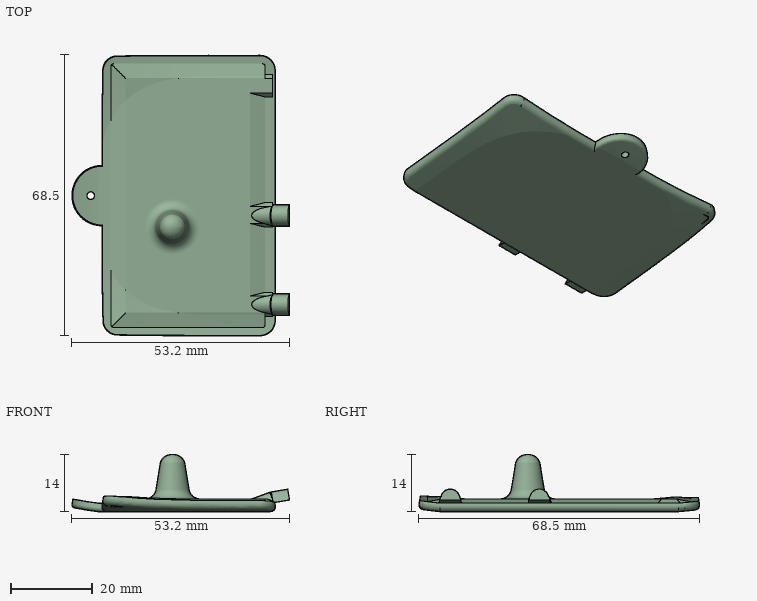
import cadquery as cq
import math

plate_half_x = 21.13
plate_half_y = 34.265
corner_radius = 4.0
rim_thickness = 2.1
bottom_round = 1.3
side_draft = 10.0
widest_z = 1.85

tab_radius = 7.2
tab_center_x = -21.3
tab_bottom_round = 0.8
tab_hole_diameter = 1.8
tab_hole_x = -23.9

egg_center_x = 6.9
egg_half_x = 29.0
egg_half_y = 29.1
egg_power = 2.8
bend_rise = 1.0
bend_rise_left = 0.35
bend_tilt = 0.1

panel_height = 3.16
panel_left = -18.96
panel_right = 18.7
panel_half_y = 32.2
panel_slope_width = 3.55
panel_corner_radius = 0.7
panel_root_z = 1.2
strip_right = 20.5
strip_half_y = 28.65
step_slope_width = 0.9

recess_left = 15.1
recess_spans = ((-2.6, 25.0), (-24.5, -6.8))

pin_x, pin_y = -3.93, -7.68
pin_base_radius = 6.7
pin_neck_radius = 4.1
pin_neck_z = 5.2
pin_top_radius = 3.0
pin_shoulder_z = 11.96
pin_height = 14.0
pin_tip_radius = 0.2
pin_root_z = 1.5

peg_centers_y = (-4.85, -26.6)
peg_kink_x, peg_kink_z = 20.4, 3.3
peg_outer_tilt = 9.5
peg_inner_tilt = 20.0
peg_outer_length = 4.12
peg_inner_length = 5.6
peg_half_width = 2.2
peg_base_half_width = 2.68
peg_crown = 1.58
peg_skirt = 1.15

reach = 40.0
depth = 40.0
blank_height = 8.0
grid_steps = 40
sheet_tolerance = 0.005
down_facing_limit = -0.5

panel_step = panel_height - rim_thickness
panel_slope = panel_step / panel_slope_width


def bend(x, y):
    """Height of the bent sheet above the flat; positive only outside the egg."""
    left = max(0.0, (egg_center_x - x) / egg_half_x)
    front = -y / egg_half_y
    overshoot = left ** egg_power + abs(front) ** egg_power - 1.0
    return overshoot * (bend_rise + bend_rise_left * left) * (1.0 + bend_tilt * front)


def below_sheet(level, slope_x=0.0, slope_y=0.0):
    """Everything under a sheet that is flat inside the egg and bends up outside it.

    `level` is the flat height at the origin; the slopes tilt the whole sheet.
    """
    def flat_z(x, y):
        return level + slope_x * x + slope_y * y

    ticks = [reach * (2.0 * i / grid_steps - 1.0) for i in range(grid_steps + 1)]
    points = [[cq.Vector(x, y, flat_z(x, y) + bend(x, y)) for y in ticks] for x in ticks]
    bent_face = cq.Face.makeSplineApprox(points, tol=sheet_tolerance)

    corners = [(-reach, -reach), (reach, -reach), (reach, reach), (-reach, reach)]
    flat_wire = cq.Wire.makePolygon([cq.Vector(x, y, flat_z(x, y)) for x, y in corners], close=True)
    flat_face = cq.Face.makeFromWires(flat_wire)

    down = cq.Vector(0, 0, -depth)
    bent = cq.Workplane(obj=cq.Solid.extrudeLinear(bent_face, down))
    return bent.union(cq.Workplane(obj=cq.Solid.extrudeLinear(flat_face, down)))


def faces_down(face):
    return face.normalAt(face.Center()).z < down_facing_limit


def round_bottom(body, radius):
    """Fillet the edges where the underside of a sheet-shaped body meets its walls."""
    faces = body.faces().vals()
    wall_edges = [edge for face in faces if not faces_down(face) for edge in face.Edges()]
    under_edges = [edge for face in faces if faces_down(face) for edge in face.Edges()]
    bottom_edges = [edge for edge in under_edges if any(edge.isSame(wall) for wall in wall_edges)]
    return body.newObject(bottom_edges).fillet(radius)


def make_plate(rim_sheet, base_sheet):
    draft_growth = widest_z * math.tan(math.radians(side_draft))
    base_outline = (
        cq.Sketch()
        .rect(2 * (plate_half_x + draft_growth), 2 * (plate_half_y + draft_growth))
        .vertices().fillet(corner_radius)
    )
    blank = cq.Workplane("XY").placeSketch(base_outline).extrude(blank_height, taper=side_draft)
    plate = round_bottom(blank.intersect(rim_sheet).cut(base_sheet), bottom_round)

    tab_base_radius = tab_radius + draft_growth
    tab_blank = (
        cq.Workplane("XY").center(tab_center_x, 0)
        .circle(tab_base_radius).extrude(blank_height, taper=side_draft)
    )
    tab = round_bottom(tab_blank.intersect(rim_sheet).cut(base_sheet), tab_bottom_round)
    tab_hole = cq.Workplane("XY").center(tab_hole_x, 0).circle(tab_hole_diameter / 2).extrude(depth)
    return plate.union(tab).cut(tab_hole)


def make_panel():
    panel_outline = (
        cq.Workplane("XY").workplane(offset=panel_root_z)
        .moveTo(panel_left, -panel_half_y).lineTo(panel_right, -panel_half_y)
        .lineTo(panel_right, panel_half_y).lineTo(panel_left, panel_half_y).close()
        .extrude(depth).edges("|Z").fillet(panel_corner_radius)
    )
    side_level = rim_thickness + panel_slope * panel_half_y
    left_level = rim_thickness - panel_slope * panel_left
    panel = panel_outline.intersect(below_sheet(panel_height))
    panel = panel.intersect(below_sheet(left_level, slope_x=panel_slope))
    panel = panel.intersect(below_sheet(side_level, slope_y=panel_slope))
    panel = panel.intersect(below_sheet(side_level, slope_y=-panel_slope))

    strip_foot = strip_half_y + step_slope_width
    strip = (
        cq.Workplane("YZ").workplane(offset=recess_left)
        .moveTo(-strip_foot, panel_root_z).lineTo(strip_foot, panel_root_z)
        .lineTo(strip_foot, rim_thickness).lineTo(strip_half_y, panel_height)
        .lineTo(-strip_half_y, panel_height).lineTo(-strip_foot, rim_thickness)
        .close().extrude(strip_right - recess_left)
    )
    return panel.union(strip)


def make_recess(front, back):
    """Cutter with a ramp on its left side and short slopes at both ends."""
    ramp = (
        cq.Workplane("XZ").workplane(offset=-back)
        .moveTo(recess_left, panel_height).lineTo(recess_left + panel_slope_width, rim_thickness)
        .lineTo(reach, rim_thickness).lineTo(reach, panel_height)
        .close().extrude(back - front)
    )
    ends = (
        cq.Workplane("YZ")
        .moveTo(front, panel_height).lineTo(front + step_slope_width, rim_thickness)
        .lineTo(back - step_slope_width, rim_thickness).lineTo(back, panel_height)
        .close().extrude(reach)
    )
    return ramp.intersect(ends)


def tangent_arc_midpoint(width, height):
    """Middle of an arc that starts along the width direction and climbs by `height`."""
    half_turn = math.atan2(height, width)
    radius = width / math.sin(2 * half_turn)
    return radius * math.sin(half_turn), radius * (1.0 - math.cos(half_turn))


def make_pin():
    foot_in, foot_up = tangent_arc_midpoint(pin_base_radius - pin_neck_radius, pin_neck_z - panel_height)
    dome_out, dome_down = tangent_arc_midpoint(pin_top_radius - pin_tip_radius, pin_height - pin_shoulder_z)
    profile = (
        cq.Workplane("XZ")
        .moveTo(0, pin_root_z).lineTo(pin_base_radius, pin_root_z).lineTo(pin_base_radius, panel_height)
        .threePointArc((pin_base_radius - foot_in, panel_height + foot_up), (pin_neck_radius, pin_neck_z))
        .lineTo(pin_top_radius, pin_shoulder_z)
        .threePointArc((pin_tip_radius + dome_out, pin_height - dome_down), (pin_tip_radius, pin_height))
        .lineTo(0, pin_height).close()
    )
    return profile.revolve(360, (0, 0, 0), (0, 1, 0)).translate((pin_x, pin_y, 0))


def peg_length(center_y, tilt, length):
    """Straight piece of a peg, running from the kink along its tilted axis."""
    lean = math.radians(tilt)
    section_plane = cq.Plane(
        origin=(peg_kink_x, center_y, peg_kink_z),
        xDir=(0, 1, 0),
        normal=(math.cos(lean), 0, math.sin(lean)),
    )
    return (
        cq.Workplane(section_plane)
        .moveTo(-peg_base_half_width, -peg_skirt).lineTo(peg_base_half_width, -peg_skirt)
        .lineTo(peg_half_width, 0)
        .threePointArc((0, peg_crown), (-peg_half_width, 0))
        .close().extrude(length)
    )


rim_sheet = below_sheet(rim_thickness)
base_sheet = below_sheet(0)

result = make_plate(rim_sheet, base_sheet).union(make_panel())
for front, back in recess_spans:
    result = result.cut(make_recess(front, back))
result = result.union(make_pin())
for center_y in peg_centers_y:
    result = result.union(peg_length(center_y, peg_outer_tilt, peg_outer_length))
    result = result.union(peg_length(center_y, peg_inner_tilt, -peg_inner_length))